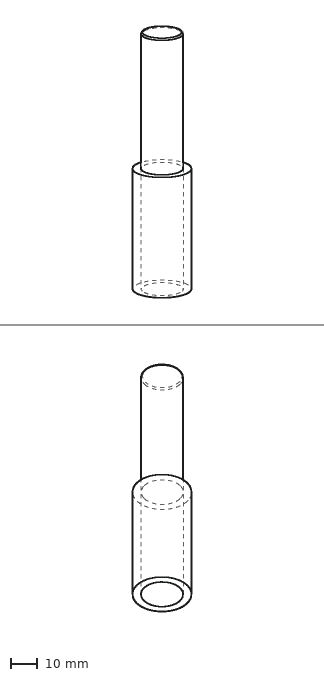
import cadquery as cq

total_length = 101.6
sleeve_length = 47.7
sleeve_diameter = 22.3
pin_diameter = 15.8
chamfer_height = 0.7
chamfer_inset = 0.5


def make_pin():
    """Round pin along Z, running the full length, chamfered at its free upper end."""
    pin = cq.Workplane("XY").circle(pin_diameter / 2).extrude(total_length)
    return pin.faces(">Z").edges().chamfer(chamfer_height, chamfer_inset)


def make_sleeve():
    """Plain sleeve around the lower part of the pin, with a matching through bore."""
    return (
        cq.Workplane("XY")
        .circle(sleeve_diameter / 2)
        .circle(pin_diameter / 2)
        .extrude(sleeve_length)
    )


pin = make_pin()
sleeve = make_sleeve()

result = cq.Compound.makeCompound([pin.val(), sleeve.val()])